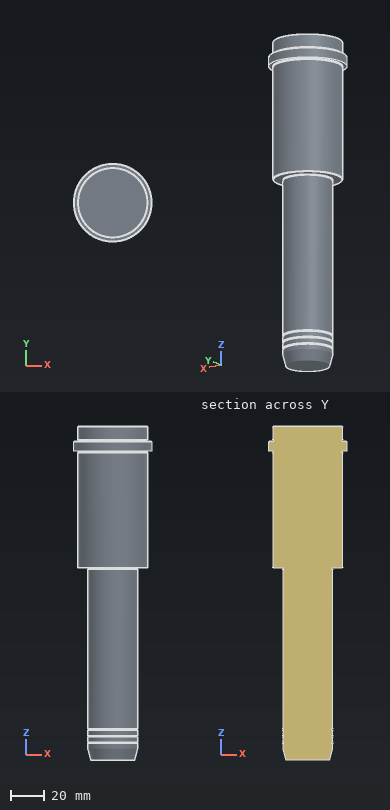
import math

import cadquery as cq

total_length = 200.0
head_length = 85.0
shoulder_z = total_length - head_length

head_radius = 42.0 / 2
edge_chamfer = 0.5
flange_radius = 47.0 / 2
flange_height = 6.0
flange_setback = 9.0
flange_top_z = total_length - flange_setback
flange_bottom_z = flange_top_z - flange_height

groove_depth = 0.5
relief_depth = 0.4

pin_radius = 30.0 / 2
pin_groove_count = 3
pin_groove_pitch = 4.0
lowest_pin_groove_z = 10.5

lead_in_length = 7.0
lead_in_angle = 15.0
tip_radius = pin_radius - lead_in_length * math.tan(math.radians(lead_in_angle))
tip_fillet = 0.5


def cylinder(radius, bottom_z, top_z):
    """Solid cylinder on the Z axis between two heights."""
    return cq.Workplane("XY").workplane(offset=bottom_z).circle(radius).extrude(top_z - bottom_z)


def spin(outline):
    """Revolve a closed XZ outline about the Z axis."""
    return outline.close().revolve(360, (0, 0, 0), (0, 1, 0))


def v_groove(surface_radius, center_z, depth):
    """Ring cutter with a 90 degree V section, twice as wide as it is deep."""
    return spin(
        cq.Workplane("XZ")
        .moveTo(-surface_radius, center_z + depth)
        .lineTo(-(surface_radius - depth), center_z)
        .lineTo(-surface_radius, center_z - depth)
    )


def make_head():
    """Chamfered head carrying the flange, with a groove on each side of it."""
    head = cylinder(head_radius, shoulder_z, total_length)
    head = head.faces("<Z or >Z").chamfer(edge_chamfer)
    flange = cylinder(flange_radius, flange_bottom_z, flange_top_z)
    head = head.union(flange.faces(">Z").chamfer(edge_chamfer))
    for center_z in (flange_bottom_z - groove_depth, flange_top_z + groove_depth):
        head = head.cut(v_groove(head_radius, center_z, groove_depth))
    return head


def make_lead_in():
    """Cone narrowing from the straight pin to an end face with a rounded rim."""
    cone = spin(
        cq.Workplane("XZ")
        .moveTo(0, 0)
        .lineTo(-tip_radius, 0)
        .lineTo(-pin_radius, lead_in_length)
        .lineTo(0, lead_in_length)
    )
    return cone.faces("<Z").edges().fillet(tip_fillet)


def make_pin():
    """Grooved guide pin with its lead-in and the relief below the shoulder."""
    pin = cylinder(pin_radius, lead_in_length, shoulder_z)
    pin = pin.cut(v_groove(pin_radius, shoulder_z - relief_depth, relief_depth))
    for index in range(pin_groove_count):
        center_z = lowest_pin_groove_z + index * pin_groove_pitch
        pin = pin.cut(v_groove(pin_radius, center_z, groove_depth))
    return pin.union(make_lead_in())


result = make_head().union(make_pin())